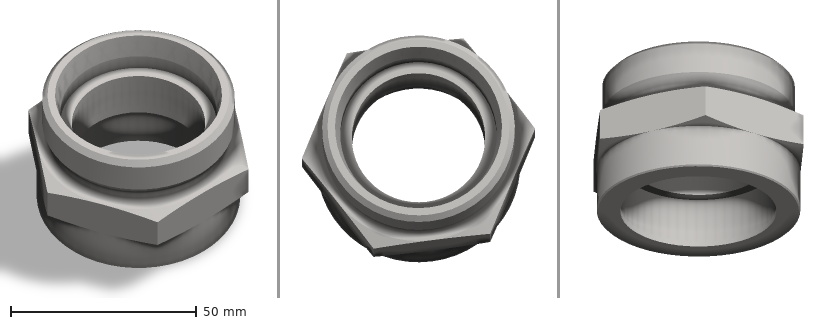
import cadquery as cq
import math

corner_width = 63.5
flat_width = corner_width * math.cos(math.radians(30))
collar_height = 12.0
collar_chamfer = 0.4
hex_height = 11.0
hex_top = collar_height + hex_height
hex_chamfer_angle = 15.0

total_height = 39.0
spigot_diameter = 52.0
spigot_chamfer = 1.45
groove_diameter = 49.0
groove_fillet = 1.2
groove_cone_top = 29.0
groove_cone_angle = 30.0

mouth_diameter = 45.0
seat_diameter = 42.25
taper_angle = 12.0
taper_depth = (mouth_diameter - seat_diameter) / 2 / math.tan(math.radians(taper_angle))
seat_depth = 11.0
bore_diameter = 36.0
socket_diameter = 42.2
socket_depth = 14.05


def revolve(profile):
    """Revolve a closed list of (radius, height) points about Z."""
    return cq.Workplane("XZ").polyline(profile).close().revolve(360, (0, 0), (0, 1))


def make_hexagon():
    """Hexagon with corners on Y, its corners bevelled above and below."""
    corner_radius = corner_width / 2
    flat_radius = flat_width / 2
    bevel = (corner_radius - flat_radius) * math.tan(math.radians(hex_chamfer_angle))
    prism = (
        cq.Workplane("XY", origin=(0, 0, collar_height))
        .polygon(6, corner_width)
        .extrude(hex_height)
        .rotate((0, 0, 0), (0, 0, 1), 90)
    )
    envelope = revolve([
        (0, collar_height),
        (flat_radius, collar_height),
        (corner_radius, collar_height + bevel),
        (corner_radius, hex_top - bevel),
        (flat_radius, hex_top),
        (0, hex_top),
    ])
    return prism.intersect(envelope)


def make_collar():
    collar = cq.Workplane("XY").circle(flat_width / 2).extrude(collar_height)
    return collar.faces("<Z").edges().chamfer(collar_chamfer)


def make_spigot():
    """Neck with a filleted foot, blended into a cone below the chamfered spigot."""
    neck = groove_diameter / 2
    outer = spigot_diameter / 2
    foot_middle = groove_fillet * (1 - math.sqrt(0.5))
    cone_angle = math.radians(groove_cone_angle)
    cone_corner = groove_cone_top - (outer - neck) / math.tan(cone_angle)
    blend_start = cone_corner - groove_fillet * math.tan(cone_angle / 2)

    def blend_point(angle):
        """Point on the arc blending the neck into the cone."""
        return (
            neck + groove_fillet * (1 - math.cos(angle)),
            blend_start + groove_fillet * math.sin(angle),
        )

    return (
        cq.Workplane("XZ")
        .moveTo(0, hex_top)
        .lineTo(neck + groove_fillet, hex_top)
        .threePointArc((neck + foot_middle, hex_top + foot_middle), (neck, hex_top + groove_fillet))
        .lineTo(neck, blend_start)
        .threePointArc(blend_point(cone_angle / 2), blend_point(cone_angle))
        .lineTo(outer, groove_cone_top)
        .lineTo(outer, total_height - spigot_chamfer)
        .lineTo(outer - spigot_chamfer, total_height)
        .lineTo(0, total_height)
        .close()
        .revolve(360, (0, 0), (0, 1))
    )


def make_passage():
    mouth = mouth_diameter / 2
    seat = seat_diameter / 2
    bore = bore_diameter / 2
    socket = socket_diameter / 2
    return revolve([
        (0, 0),
        (socket, 0),
        (socket, socket_depth),
        (bore, socket_depth),
        (bore, total_height - seat_depth),
        (seat, total_height - seat_depth),
        (seat, total_height - taper_depth),
        (mouth, total_height),
        (0, total_height),
    ])


result = make_collar().union(make_hexagon()).union(make_spigot()).cut(make_passage())